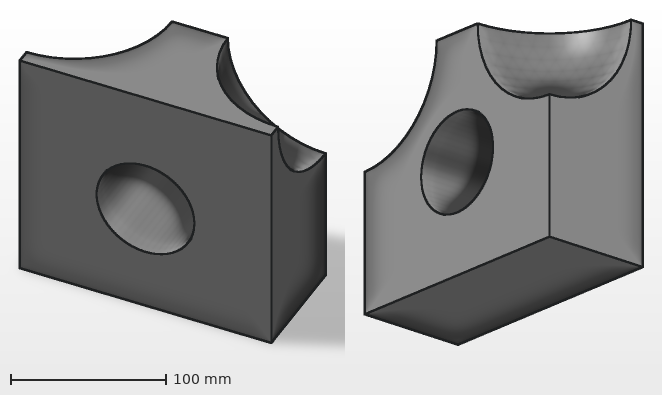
import cadquery as cq

block_width = 180.0
block_depth = 80.0
block_height = 168.63

recess_radius = 70.0

bore_radius = 35.0
bore_height = block_height - block_width / 2


def make_block():
    """Rectangular body before any material is removed."""
    return cq.Workplane("XY").box(
        block_width, block_depth, block_height, centered=(True, False, False)
    )


def make_bore():
    """Cylinder along Y that passes right through the block."""
    return (
        cq.Workplane("XZ")
        .center(0, bore_height)
        .circle(bore_radius)
        .extrude(-block_depth)
    )


def make_corner_recess(side):
    """Ball on an upper rear corner; side is -1 for the -X corner and +1 for the +X corner."""
    corner = (side * block_width / 2, block_depth, block_height)
    return cq.Workplane("XY").sphere(recess_radius).translate(corner)


result = make_block().cut(make_bore())
for side in (-1, 1):
    result = result.cut(make_corner_recess(side))